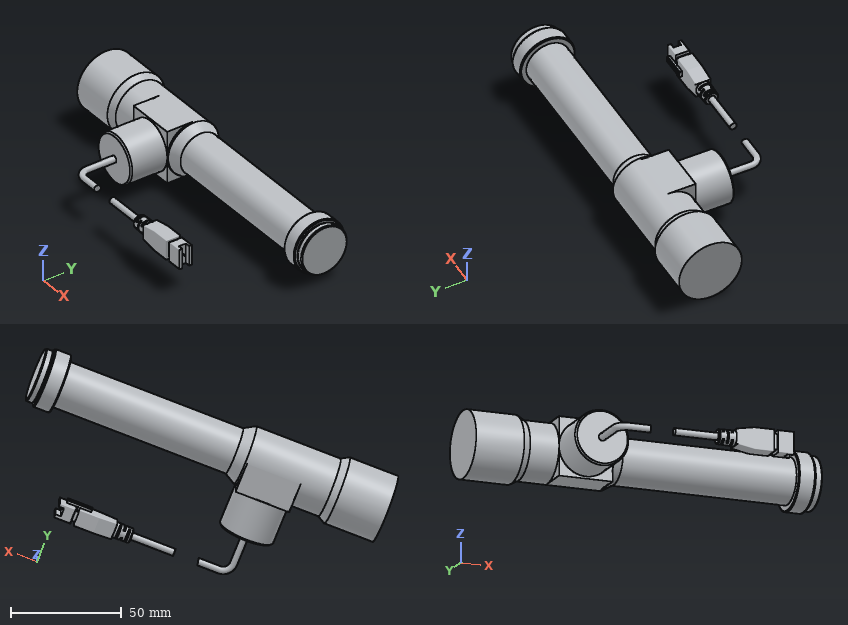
import cadquery as cq

total_length = 169.5
head_radius = 16.0
head_length = 23.4
body_radius = 14.0
body_start = 27.05
body_end = 67.9
tube_radius = 11.0
tube_start = 73.2
flange_radius = 14.0
flange_start = 157.5
flange_end = 165.6
flange_chamfer = 0.5
groove_radius = 12.2
mount_start = 166.3
mount_radius = 12.7
mount_chamfer = 0.5

light_x = 54.0
light_size = 26.0
light_block_face = -body_radius
light_front = -34.0
light_chamfer = 0.8

cable_radius = 1.75
cable_y = -54.05
bend_radius = 5.0
lead_end = 69.25
lead_end_slant = 0.35
plug_cable_start = 80.8

sleeve_start = 101.6
sleeve_start_radius = 3.45
sleeve_end_radius = 3.7
sleeve_chamfer = 0.4
sleeve_core = 2 * cable_radius
slot_width = 0.8
slot_pitch = 2.2
first_slot_x = 103.5
slot_pairs = 3

shell_start = 109.8
shell_taper_end = 118.5
shell_end = 128.0
shell_depth = 8.0
shell_start_width = 7.5
plug_width = 10.6
plug_fillet = 0.4
neck_depth = 5.0
neck_width = 7.2
fork_start = 129.8
fork_end = 137.6
fork_depth = 7.2
fork_slot_start = 135.0
fork_slot_depth = 3.8
latch_start = 122.6
latch_end = 134.5
latch_thickness = 1.6
latch_width = 3.0
latch_chamfer = 0.4
latch_root_length = 1.0
contact_length = 1.5
contact_size = 0.3
contact_offset = 0.5


def box_along_x(x_start, x_end, y_size, z_size, y_centre=cable_y):
    """Box from x_start to x_end, centred on y_centre and Z = 0."""
    return (
        cq.Workplane("YZ", origin=(x_start, y_centre, 0))
        .rect(y_size, z_size)
        .extrude(x_end - x_start)
    )


def make_lens():
    """Barrel turned about X, with the light block and its round cap."""
    profile = [
        (0, 0),
        (0, head_radius),
        (head_length, head_radius),
        (body_start, body_radius),
        (body_end, body_radius),
        (tube_start, tube_radius),
        (flange_start, tube_radius),
        (flange_start, flange_radius - flange_chamfer),
        (flange_start + flange_chamfer, flange_radius),
        (flange_end - flange_chamfer, flange_radius),
        (flange_end, flange_radius - flange_chamfer),
        (flange_end, groove_radius),
        (mount_start, groove_radius),
        (mount_start, mount_radius),
        (total_length - mount_chamfer, mount_radius),
        (total_length, mount_radius - mount_chamfer),
        (total_length, 0),
    ]
    barrel = cq.Workplane("XY").polyline(profile).close().revolve(360, (0, 0, 0), (1, 0, 0))
    block = (
        cq.Workplane("XZ", origin=(light_x, 0, 0))
        .rect(light_size, 2 * body_radius)
        .extrude(-light_block_face)
    )
    cap = (
        cq.Workplane("XZ", origin=(light_x, light_block_face, 0))
        .circle(light_size / 2)
        .extrude(light_block_face - light_front)
        .faces("<Y")
        .chamfer(light_chamfer)
    )
    return barrel.union(block).union(cap)


def make_lead():
    """Cable leaving the light unit along -Y and bending round to +X, its end cut on a slant."""
    bend_start = (light_x, cable_y + bend_radius)
    bend_end = (light_x + bend_radius, cable_y)
    path = (
        cq.Workplane("XY")
        .moveTo(light_x, light_front)
        .lineTo(*bend_start)
        .tangentArcPoint(bend_end, relative=False)
        .lineTo(lead_end + lead_end_slant, cable_y)
    )
    lead = cq.Workplane("XZ", origin=(light_x, light_front, 0)).circle(cable_radius).sweep(path)
    offcut = (
        cq.Workplane("XY", origin=(lead_end, cable_y, -cable_radius))
        .polyline(
            [
                (-lead_end_slant, -cable_radius),
                (2 * lead_end_slant, -cable_radius),
                (2 * lead_end_slant, cable_radius),
                (lead_end_slant, cable_radius),
            ]
        )
        .close()
        .extrude(2 * cable_radius)
    )
    return lead.cut(offcut)


def make_strain_relief():
    """Tapered sleeve; pairs of slots alternate between the Z and Y sides."""
    length = shell_start - sleeve_start
    sleeve = (
        cq.Workplane("XY", origin=(sleeve_start, cable_y, 0))
        .polyline([(0, 0), (0, sleeve_start_radius), (length, sleeve_end_radius), (length, 0)])
        .close()
        .revolve(360, (0, 0, 0), (1, 0, 0))
        .faces("<X")
        .chamfer(sleeve_chamfer)
    )
    wide = 4 * sleeve_end_radius
    for index in range(slot_pairs):
        x_start = first_slot_x + index * slot_pitch - slot_width / 2
        x_end = x_start + slot_width
        across_z = index % 2 == 0
        y_core = wide if across_z else sleeve_core
        z_core = sleeve_core if across_z else wide
        slots = box_along_x(x_start, x_end, wide, wide).cut(box_along_x(x_start, x_end, y_core, z_core))
        sleeve = sleeve.cut(slots)
    return sleeve


def make_shell():
    """Plug shell, widening in Z towards a straight rear part, edges rounded."""
    outline = [
        (shell_start, -shell_start_width / 2),
        (shell_taper_end, -plug_width / 2),
        (shell_end, -plug_width / 2),
        (shell_end, plug_width / 2),
        (shell_taper_end, plug_width / 2),
        (shell_start, shell_start_width / 2),
    ]
    shell = (
        cq.Workplane("XZ", origin=(0, cable_y + shell_depth / 2, 0))
        .polyline(outline)
        .close()
        .extrude(shell_depth)
    )
    return shell.faces("<Y or >Y or >X").edges().fillet(plug_fillet)


def make_fork():
    """End block with rounded long edges and an open slot through it in Z, a contact inside."""
    block = box_along_x(fork_start, fork_end, fork_depth, plug_width).edges("|X").fillet(plug_fillet)
    block = block.cut(box_along_x(fork_slot_start, fork_end, fork_slot_depth, plug_width))
    contact = box_along_x(
        fork_slot_start,
        fork_slot_start + contact_length,
        contact_size,
        contact_size,
        cable_y + contact_offset,
    )
    return block.union(contact)


def make_latch():
    """Lever lying on the +Y side of the shell, with a root reaching down to the neck."""
    shell_top = cable_y + shell_depth / 2
    lever_y = shell_top + latch_thickness / 2
    lever = box_along_x(latch_start, latch_end, latch_thickness, latch_width, lever_y)
    lever = lever.faces(">Y").edges("|X").chamfer(latch_chamfer)
    root_depth = (shell_depth - neck_depth) / 2
    root_y = shell_top - root_depth / 2
    root = box_along_x(shell_end, shell_end + latch_root_length, root_depth, latch_width, root_y)
    return lever.union(root)


def make_plug():
    """Straight cable, strain relief, shell, neck, end block and latch as one body."""
    cable = (
        cq.Workplane("YZ", origin=(plug_cable_start, cable_y, 0))
        .circle(cable_radius)
        .extrude(shell_start - plug_cable_start)
    )
    neck = box_along_x(shell_end, fork_start, neck_depth, neck_width)
    plug = cable.union(make_strain_relief()).union(make_shell())
    return plug.union(neck).union(make_fork()).union(make_latch())


lens = make_lens()
lead = make_lead()
plug = make_plug()

result = cq.Compound.makeCompound([lens.val(), lead.val(), plug.val()])